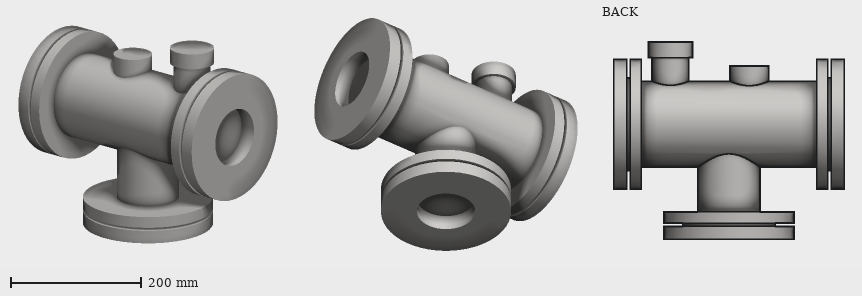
import cadquery as cq

overall_length = 354.0
pipe_diameter = 132.5

flange_diameter = 200.0
cover_thickness = 20.2
gasket_thickness = 5.0
gasket_diameter = 142.5
flange_thickness = 17.5
bore_diameter = 90.0
bore_depth = cover_thickness + gasket_thickness

branch_diameter = 96.0
branch_length = 177.0

boss_diameter = 60.0
boss_x = -31.0
boss_top = 89.5

overall_height = 303.5
port_diameter = 57.0
port_x = 90.0
port_top = overall_height - branch_length
cap_diameter = 68.0
cap_height = 24.0


def cylinder(plane, diameter, length):
    return cq.Workplane(plane).circle(diameter / 2).extrude(length)


def end_plane(axis, distance):
    """Plane facing inward, at the given distance from the origin along axis."""
    return cq.Plane(origin=axis * distance, normal=axis * -1)


def flanged_end(axis, distance):
    """Cover plate, gasket and pipe flange stacked inward from the end face."""
    cover = cylinder(end_plane(axis, distance), flange_diameter, cover_thickness)
    gasket_start = distance - cover_thickness
    gasket = cylinder(end_plane(axis, gasket_start), gasket_diameter, gasket_thickness)
    flange_start = gasket_start - gasket_thickness
    flange = cylinder(end_plane(axis, flange_start), flange_diameter, flange_thickness)
    return cover.union(gasket).union(flange)


def top_stub(x, diameter, top):
    """Vertical cylinder from the pipe axis up to the given height."""
    return cylinder("XY", diameter, top).translate((x, 0, 0))


x_axis = cq.Vector(1, 0, 0)
z_axis = cq.Vector(0, 0, 1)
ends = [
    (x_axis * -1, overall_length / 2),
    (x_axis, overall_length / 2),
    (z_axis * -1, branch_length),
]

pipe = cylinder(end_plane(x_axis, overall_length / 2), pipe_diameter, overall_length)
branch = cylinder(end_plane(z_axis * -1, branch_length), branch_diameter, branch_length)
result = pipe.union(branch)

result = result.union(top_stub(boss_x, boss_diameter, boss_top))
result = result.union(top_stub(port_x, port_diameter, port_top))
cap = cylinder("XY", cap_diameter, cap_height)
result = result.union(cap.translate((port_x, 0, port_top - cap_height)))

for axis, distance in ends:
    result = result.union(flanged_end(axis, distance))
    result = result.cut(cylinder(end_plane(axis, distance), bore_diameter, bore_depth))